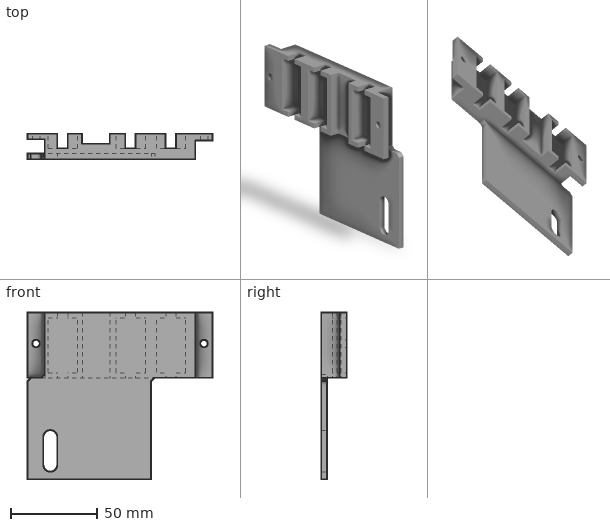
import cadquery as cq

width = 107.6
depth = 15.0
height = 97.0

block_height = 38.0
block_bottom = height - block_height
flange_length = 10.1
left_flange_thickness = 3.4
right_flange_thickness = 4.1

plate_width = 71.9
plate_thickness = 3.4
corner_chamfer = 2.0

screw_hole_diameter = 4.2
screw_hole_edge_distance = 5.1
screw_hole_height = height - 18.1

slot_width = 8.0
slot_length = 24.0
slot_center_x = 13.3
slot_center_z = 16.6

narrow_channel_width = 5.9
narrow_channel_depth = 8.5
narrow_channel_centers = [20.5, 59.9, 83.3]

cavity_width = 17.0
cavity_lip = 3.0
cavity_height = block_height - 2 * cavity_lip

wide_channel_width = 15.9
wide_channel_depth = 5.8
wide_channel_center = 39.8


def front_plane():
    """Front face plane; a negative extrusion runs towards the back."""
    return cq.Workplane("XZ")


def make_block():
    """Block and its two flanges, extruded upwards from the cross-section."""
    block_left = flange_length
    block_right = width - flange_length
    left_flange_front = depth - left_flange_thickness
    right_flange_front = depth - right_flange_thickness
    return (
        cq.Workplane("XY", origin=(0, 0, block_bottom))
        .moveTo(block_left, 0)
        .lineTo(block_right, 0)
        .lineTo(block_right, right_flange_front)
        .lineTo(width, right_flange_front)
        .lineTo(width, depth)
        .lineTo(0, depth)
        .lineTo(0, left_flange_front)
        .lineTo(block_left, left_flange_front)
        .close()
        .extrude(block_height)
    )


def make_plate():
    """Plate with a cut upper left corner and sloped fills where it meets the block."""
    return (
        front_plane()
        .lineTo(plate_width, 0)
        .lineTo(plate_width, block_bottom - corner_chamfer)
        .lineTo(plate_width + corner_chamfer, block_bottom)
        .lineTo(plate_width + corner_chamfer, block_bottom + corner_chamfer)
        .lineTo(flange_length, block_bottom + corner_chamfer)
        .lineTo(flange_length - corner_chamfer, block_bottom)
        .lineTo(corner_chamfer, block_bottom)
        .lineTo(0, block_bottom - corner_chamfer)
        .close()
        .extrude(-plate_thickness)
    )


def make_channel(center_x, channel_width, channel_depth):
    """Cutter for a channel open at the back and at both ends of the block."""
    return (
        cq.Workplane("XY", origin=(center_x, depth - channel_depth / 2, block_bottom))
        .rect(channel_width, channel_depth)
        .extrude(block_height)
    )


def make_cavity(center_x):
    """Cutter for a back-opening cavity as deep as the narrow channel it widens."""
    cavity_center_y = depth - narrow_channel_depth / 2
    return (
        cq.Workplane("XY", origin=(center_x, cavity_center_y, block_bottom + cavity_lip))
        .rect(cavity_width, narrow_channel_depth)
        .extrude(cavity_height)
    )


def make_screw_holes():
    """Cutters for one through hole in each flange."""
    return (
        front_plane()
        .pushPoints([
            (screw_hole_edge_distance, screw_hole_height),
            (width - screw_hole_edge_distance, screw_hole_height),
        ])
        .circle(screw_hole_diameter / 2)
        .extrude(-depth)
    )


def make_slot():
    """Cutter for the upright round-ended slot through the plate."""
    return (
        front_plane()
        .center(slot_center_x, slot_center_z)
        .slot2D(slot_length, slot_width, 90)
        .extrude(-plate_thickness)
    )


result = make_block().union(make_plate())
for channel_center in narrow_channel_centers:
    result = result.cut(make_channel(channel_center, narrow_channel_width, narrow_channel_depth))
    result = result.cut(make_cavity(channel_center))
result = result.cut(make_channel(wide_channel_center, wide_channel_width, wide_channel_depth))
result = result.cut(make_screw_holes()).cut(make_slot())